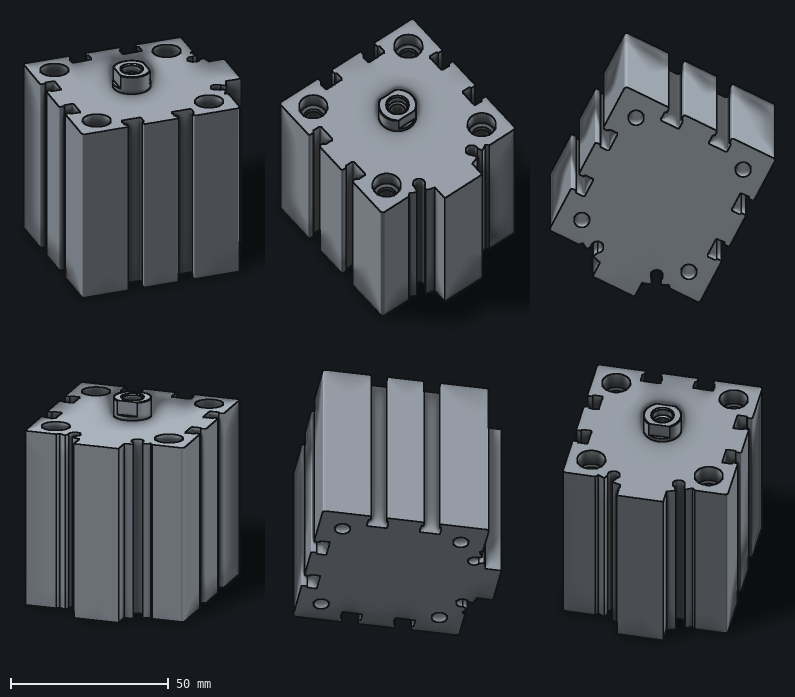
import cadquery as cq
import math

side = 53.5
total_height = 64.0
rod_protrusion = 6.0
corner_radius = 1.0

rail_width = 15.0
rail_top = 34.25
shoulder_radius = 29.95
notch_outer_x = 16.1
notch_bottom_x = 15.2

groove_angle = 23.0
groove_radius = 26.95
groove_diameter = 3.85
groove_neck_width = 3.0

slot_offset = 8.5
slot_mouth_width = 5.2
slot_inner_width = 6.5
slot_depth = 5.0
slot_lip = 1.8
slot_mouth_radius = 0.5
slot_inner_radius = 0.5

hole_offset = 19.0
hole_diameter = 4.9
hole_chamfer_diameter = 6.0
counterbore_diameter = 9.0
counterbore_depth = 5.7

rod_diameter = 12.0
rod_engagement = 20.0
rod_chamfer = 0.2
flat_width = 10.0
flat_height = 4.7

socket_mouth_diameter = 7.3
socket_diameter = 6.4
socket_step_depth = 2.75
socket_taper_height = 0.45
core_diameter = 4.9
core_depth = 13.0
drill_point_angle = 118.0

half_side = side / 2
half_rail = rail_width / 2
housing_height = total_height - rod_protrusion
notch_bottom_y = math.sqrt(shoulder_radius**2 - notch_bottom_x**2)
shoulder_end_y = math.sqrt(shoulder_radius**2 - half_rail**2)
rod_base = housing_height - rod_engagement
rod_length = rod_engagement + rod_protrusion


def housing_blank():
    """Square extrusion with the rail, curved shoulders and V notches on +Y."""
    blank = (
        cq.Workplane("XY")
        .moveTo(-half_side, -half_side)
        .lineTo(half_side, -half_side)
        .lineTo(half_side, half_side)
        .lineTo(notch_outer_x, half_side)
        .lineTo(notch_bottom_x, notch_bottom_y)
        .radiusArc((half_rail, shoulder_end_y), -shoulder_radius)
        .lineTo(half_rail, rail_top)
        .lineTo(-half_rail, rail_top)
        .lineTo(-half_rail, shoulder_end_y)
        .radiusArc((-notch_bottom_x, notch_bottom_y), -shoulder_radius)
        .lineTo(-notch_outer_x, half_side)
        .lineTo(-half_side, half_side)
        .close()
        .extrude(housing_height)
    )
    corners = cq.selectors.BoxSelector(
        (-side, -side, 0), (-half_side + corner_radius, side, housing_height)
    ) + cq.selectors.BoxSelector(
        (half_side - corner_radius, -side, 0), (side, side, housing_height)
    )
    return blank.edges("|Z").edges(corners).fillet(corner_radius)


def t_slot():
    """Cutter for one T slot, opening at the middle of the -Y side."""
    inner_length = slot_depth - slot_lip
    inner = (
        cq.Workplane("XY")
        .center(0, -half_side + slot_lip + inner_length / 2)
        .rect(slot_inner_width, inner_length)
        .extrude(housing_height)
        .edges("|Z")
        .fillet(slot_inner_radius)
    )
    half_mouth = slot_mouth_width / 2
    flare_end = half_mouth + slot_mouth_radius
    arc_start = -half_side + slot_mouth_radius
    mouth = (
        cq.Workplane("XY")
        .moveTo(-half_mouth, -half_side + slot_lip + inner_length / 2)
        .lineTo(-half_mouth, arc_start)
        .radiusArc((-flare_end, -half_side), slot_mouth_radius)
        .lineTo(flare_end, -half_side)
        .radiusArc((half_mouth, arc_start), slot_mouth_radius)
        .lineTo(half_mouth, -half_side + slot_lip + inner_length / 2)
        .close()
        .extrude(housing_height)
    )
    return inner.union(mouth)


def sensor_groove():
    """Cutter for the sensor groove in the +X shoulder."""
    neck_length = rail_top - groove_radius
    middle = cq.Workplane("XY").center(0, groove_radius)
    bottom = middle.circle(groove_diameter / 2).extrude(housing_height)
    neck = (
        middle.center(0, neck_length / 2)
        .rect(groove_neck_width, neck_length)
        .extrude(housing_height)
    )
    return bottom.union(neck).rotate((0, 0, 0), (0, 0, 1), -groove_angle)


def mounting_hole():
    """Cutter for one through hole with counterbore and chamfer, on the Z axis."""
    seat = housing_height - counterbore_depth
    chamfer = (hole_chamfer_diameter - hole_diameter) / 2
    profile = [
        (0, 0),
        (hole_diameter / 2, 0),
        (hole_diameter / 2, seat - chamfer),
        (hole_chamfer_diameter / 2, seat),
        (counterbore_diameter / 2, seat),
        (counterbore_diameter / 2, housing_height),
        (0, housing_height),
    ]
    return cq.Workplane("XZ").polyline(profile).close().revolve(360, (0, 0), (0, 1))


def make_housing():
    housing = housing_blank()

    for side_angle in (-90, 0, 90):
        for offset in (-slot_offset, slot_offset):
            slot = t_slot().translate((offset, 0, 0))
            housing = housing.cut(slot.rotate((0, 0, 0), (0, 0, 1), side_angle))

    groove = sensor_groove()
    housing = housing.cut(groove).cut(groove.mirror("YZ"))

    for x in (-hole_offset, hole_offset):
        for y in (-hole_offset, hole_offset):
            housing = housing.cut(mounting_hole().translate((x, y, 0)))

    rod_bore = cq.Workplane("XY").workplane(offset=rod_base).circle(rod_diameter / 2).extrude(rod_length)
    return housing.cut(rod_bore)


def rod_socket():
    """Cutter for the stepped socket with a conical drill point."""
    mouth_chamfer = (socket_mouth_diameter - socket_diameter) / 2
    core_bottom = total_height - core_depth
    point_length = core_diameter / 2 / math.tan(math.radians(drill_point_angle / 2))
    profile = [
        (0, total_height),
        (socket_mouth_diameter / 2, total_height),
        (socket_diameter / 2, total_height - mouth_chamfer),
        (socket_diameter / 2, total_height - socket_step_depth),
        (core_diameter / 2, total_height - socket_step_depth - socket_taper_height),
        (core_diameter / 2, core_bottom),
        (0, core_bottom - point_length),
    ]
    return cq.Workplane("XZ").polyline(profile).close().revolve(360, (0, 0), (0, 1))


def make_rod():
    rod = (
        cq.Workplane("XY")
        .workplane(offset=rod_base)
        .circle(rod_diameter / 2)
        .extrude(rod_length)
        .faces(">Z")
        .chamfer(rod_chamfer)
    )
    flats = (
        cq.Workplane("XY")
        .workplane(offset=total_height - flat_height)
        .rect(2 * rod_diameter, 2 * rod_diameter)
        .rect(2 * rod_diameter, flat_width)
        .extrude(flat_height)
    )
    return rod.cut(flats).cut(rod_socket())


housing = make_housing()
rod = make_rod()

result = cq.Compound.makeCompound([housing.val(), rod.val()])